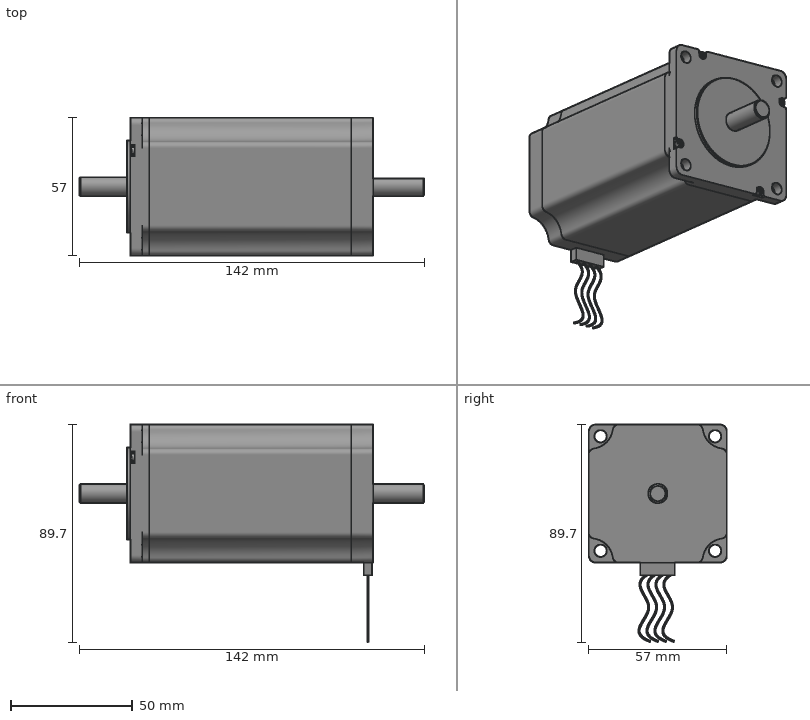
import cadquery as cq

SIDE = 57.0
HOUSING_LENGTH = 100.0
FLANGE_THICKNESS = 4.8
FRONT_CAP_LENGTH = 7.8
REAR_CAP_LENGTH = 9.0
REAR_EDGE_RADIUS = 0.4
FLANGE_CORNER_RADIUS = 3.0
SCALLOP_RADIUS = 9.1
SCALLOP_SPACING = 55.1
SCALLOP_EDGE_RADIUS = 2.5

PILOT_DIAMETER = 38.0
PILOT_HEIGHT = 1.5
PILOT_CHAMFER = 0.3
MOUNTING_HOLE_DIAMETER = 5.0
MOUNTING_HOLE_SPACING = 47.1

SCREW_OFFSET = 14.9
SCREW_INSET = 1.8
NOTCH_RADIUS = 1.8
NOTCH_MOUTH_FLARE = 0.5
NOTCH_DEPTH = 1.7
SCREW_HEAD_RADIUS = 1.4
SCREW_HEAD_ROUND = 0.7
SCREW_SLOT_LENGTH = 1.8
SCREW_SLOT_WIDTH = 0.4
SCREW_SLOT_DEPTH = 0.5

SHAFT_LENGTH = 142.0
SHAFT_DIAMETER = 8.0
SHAFT_CHAMFER = 0.5
REAR_CHAMFER_LENGTH = 0.9
REAR_FLAT_DEPTH = 0.5

CONNECTOR_THICKNESS = 3.5
CONNECTOR_WIDTH = 14.3
CONNECTOR_OFFSET = -0.1
CONNECTOR_DROP = 5.3
CONNECTOR_REAR_GAP = 0.4
WIRE_DIAMETER = 0.6
WIRE_COUNT = 4
WIRE_PITCH = 3.3
WIRE_DROP = 27.1
WIRE_ROOT = 0.5
WIRE_BENDS = [(-2.4, 4.0), (1.1, 13.0), (-2.8, 22.7)]
WIRE_ROOT_SHIFT = 0.9
WIRE_TIP_SHIFT = 1.7

HALF_SIDE = SIDE / 2
SHAFT_PROJECTION = (SHAFT_LENGTH - HOUSING_LENGTH) / 2
REAR_CAP_START = HOUSING_LENGTH - REAR_CAP_LENGTH


def cylinder(diameter, start, length):
    """Cylinder on the motor axis."""
    return cq.Workplane("YZ", origin=(start, 0, 0)).circle(diameter / 2).extrude(length)


def housing_section(start, length):
    """Square prism with scalloped, rounded corners."""
    section = cq.Workplane("YZ", origin=(start, 0, 0)).rect(SIDE, SIDE).extrude(length)
    corners = (
        cq.Workplane("YZ", origin=(start, 0, 0))
        .rect(SCALLOP_SPACING, SCALLOP_SPACING, forConstruction=True)
        .vertices()
        .circle(SCALLOP_RADIUS)
        .extrude(length)
    )
    return section.cut(corners).edges("|X").fillet(SCALLOP_EDGE_RADIUS)


def make_screw_notch():
    """Notch in the top edge of the mounting face, with a flared mouth."""
    return (
        cq.Workplane("YZ")
        .center(SCREW_OFFSET, HALF_SIDE - SCREW_INSET)
        .moveTo(-NOTCH_RADIUS, 0)
        .threePointArc((0, -NOTCH_RADIUS), (NOTCH_RADIUS, 0))
        .lineTo(NOTCH_RADIUS, SCREW_INSET - NOTCH_MOUTH_FLARE)
        .lineTo(NOTCH_RADIUS + NOTCH_MOUTH_FLARE, SCREW_INSET)
        .lineTo(-NOTCH_RADIUS - NOTCH_MOUTH_FLARE, SCREW_INSET)
        .lineTo(-NOTCH_RADIUS, SCREW_INSET - NOTCH_MOUTH_FLARE)
        .close()
        .extrude(NOTCH_DEPTH)
    )


def make_screw_head():
    """Domed head with a cross recess, flush with the mounting face."""
    face = cq.Workplane("YZ").center(SCREW_OFFSET, HALF_SIDE - SCREW_INSET)
    head = face.circle(SCREW_HEAD_RADIUS).extrude(NOTCH_DEPTH)
    head = head.faces("<X").edges().fillet(SCREW_HEAD_ROUND)
    slot_across = face.rect(SCREW_SLOT_LENGTH, SCREW_SLOT_WIDTH).extrude(SCREW_SLOT_DEPTH)
    slot_down = face.rect(SCREW_SLOT_WIDTH, SCREW_SLOT_LENGTH).extrude(SCREW_SLOT_DEPTH)
    return head.cut(slot_across).cut(slot_down)


def make_front_cap():
    flange = (
        cq.Workplane("YZ")
        .rect(SIDE, SIDE)
        .extrude(FLANGE_THICKNESS)
        .edges("|X")
        .fillet(FLANGE_CORNER_RADIUS)
    )
    pilot = cylinder(PILOT_DIAMETER, -PILOT_HEIGHT, PILOT_HEIGHT)
    pilot = pilot.faces("<X").edges().chamfer(PILOT_CHAMFER)
    mounting_holes = (
        cq.Workplane("YZ")
        .rect(MOUNTING_HOLE_SPACING, MOUNTING_HOLE_SPACING, forConstruction=True)
        .vertices()
        .circle(MOUNTING_HOLE_DIAMETER / 2)
        .extrude(FLANGE_THICKNESS)
    )
    neck = housing_section(FLANGE_THICKNESS, FRONT_CAP_LENGTH - FLANGE_THICKNESS)
    bore = cylinder(SHAFT_DIAMETER, -PILOT_HEIGHT, PILOT_HEIGHT + FRONT_CAP_LENGTH)
    cap = flange.cut(mounting_holes).union(pilot).union(neck).cut(bore)

    notch = make_screw_notch()
    screw_head = make_screw_head()
    for quarter in range(4):
        angle = 90 * quarter
        cap = cap.cut(notch.rotate((0, 0, 0), (1, 0, 0), angle))
        cap = cap.union(screw_head.rotate((0, 0, 0), (1, 0, 0), angle))
    return cap


def make_stator():
    length = REAR_CAP_START - FRONT_CAP_LENGTH
    bore = cylinder(SHAFT_DIAMETER, FRONT_CAP_LENGTH, length)
    return housing_section(FRONT_CAP_LENGTH, length).cut(bore)


def make_rear_cap():
    cap = housing_section(REAR_CAP_START, REAR_CAP_LENGTH)
    cap = cap.faces(">X").edges().fillet(REAR_EDGE_RADIUS)
    return cap.cut(cylinder(SHAFT_DIAMETER, REAR_CAP_START, REAR_CAP_LENGTH))


def make_shaft():
    shaft = cylinder(SHAFT_DIAMETER, -SHAFT_PROJECTION, SHAFT_LENGTH)
    shaft = shaft.faces("<X").edges().chamfer(SHAFT_CHAMFER)
    shaft = shaft.faces(">X").edges().chamfer(SHAFT_CHAMFER, REAR_CHAMFER_LENGTH)
    flat = cq.Workplane("XY").box(
        SHAFT_PROJECTION, REAR_FLAT_DEPTH, SHAFT_DIAMETER, centered=(False, False, True)
    )
    flat_height = SHAFT_DIAMETER / 2 - REAR_FLAT_DEPTH
    return shaft.cut(flat.translate((HOUSING_LENGTH, flat_height, 0)))


def make_wire(x, y, z):
    """Wavy wire hanging from the point (x, y, z)."""
    root = cq.Vector(x, y + WIRE_ROOT_SHIFT, z + WIRE_ROOT)
    bends = [cq.Vector(x, y + shift, z - drop) for shift, drop in WIRE_BENDS]
    tip = cq.Vector(x, y + WIRE_TIP_SHIFT, z - WIRE_DROP)
    path = cq.Workplane("XY").spline([root, *bends, tip])
    profile_plane = cq.Plane(origin=root, xDir=(1, 0, 0), normal=path.val().tangentAt(0))
    return cq.Workplane(profile_plane).circle(WIRE_DIAMETER / 2).sweep(path)


def make_lead():
    x = HOUSING_LENGTH - CONNECTOR_REAR_GAP - CONNECTOR_THICKNESS / 2
    bottom = -HALF_SIDE - CONNECTOR_DROP
    lead = cq.Workplane("XY", origin=(x, CONNECTOR_OFFSET, bottom))
    lead = lead.rect(CONNECTOR_THICKNESS, CONNECTOR_WIDTH).extrude(CONNECTOR_DROP)
    for index in range(WIRE_COUNT):
        y = (index - (WIRE_COUNT - 1) / 2) * WIRE_PITCH
        lead = lead.union(make_wire(x, y, bottom))
    return lead


front_cap = make_front_cap()
stator = make_stator()
rear_cap = make_rear_cap()
shaft = make_shaft()
lead = make_lead()

result = cq.Compound.makeCompound(
    [front_cap.val(), stator.val(), rear_cap.val(), shaft.val(), lead.val()]
)